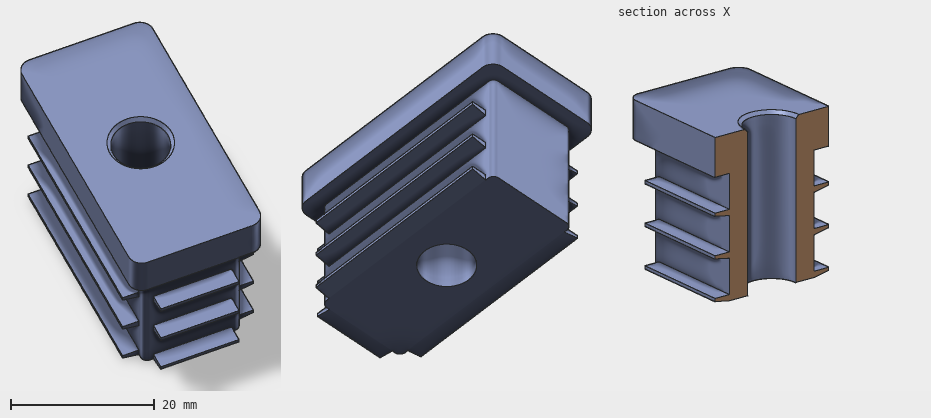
import cadquery as cq

cap_length = 40.0
cap_width = 20.0
cap_height = 6.0
cap_corner_radius = 2.0

total_height = 25.0
body_length = 35.0
body_width = 15.0
body_corner_radius = 1.0
body_height = total_height - cap_height

hole_diameter = 8.35
hole_chamfer = 0.5

rib_count = 3
rib_pitch = 6.35
rib_root_thickness = 1.0
rib_tip_thickness = 0.5
rib_end_gap = 1.5
rib_reach = (cap_width - body_width) / 2
rib_overlap = 0.4


def rounded_block(length, width, height, radius, base_z):
    block = cq.Workplane("XY").workplane(offset=base_z).rect(length, width).extrude(height)
    return block.edges("|Z").fillet(radius)


def rib(face_distance, length, base_z, turn):
    """Rib on the +X face at face_distance, turned about Z onto its own face."""
    root = face_distance - rib_overlap
    tip = face_distance + rib_reach
    top_z = base_z + rib_root_thickness
    profile = (
        cq.Workplane("XZ")
        .moveTo(root, base_z)
        .lineTo(face_distance, base_z)
        .lineTo(tip, top_z - rib_tip_thickness)
        .lineTo(tip, top_z)
        .lineTo(root, top_z)
        .close()
    )
    return profile.extrude(length / 2, both=True).rotate((0, 0, 0), (0, 0, 1), turn)


cap = rounded_block(cap_length, cap_width, cap_height, cap_corner_radius, body_height)
body = rounded_block(body_length, body_width, body_height, body_corner_radius, 0)
result = cap.union(body)

long_rib = body_length - 2 * rib_end_gap
short_rib = body_width - 2 * rib_end_gap
for level in range(rib_count):
    rib_z = level * rib_pitch
    result = result.union(rib(body_length / 2, short_rib, rib_z, 0))
    for side_turn in (90, -90):
        result = result.union(rib(body_width / 2, long_rib, rib_z, side_turn))

result = (
    result.faces(">Z")
    .workplane(origin=(0, 0, total_height))
    .hole(hole_diameter)
    .faces(">Z")
    .edges("%CIRCLE")
    .edges(cq.selectors.RadiusNthSelector(-1))
    .chamfer(hole_chamfer)
)